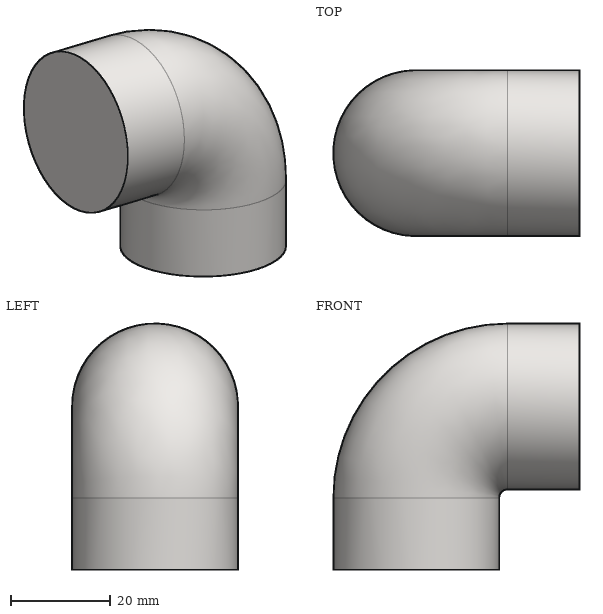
import cadquery as cq

overall_length = 49.75
pipe_diameter = 33.55
straight_length = 14.6
bend_angle = 90

pipe_radius = pipe_diameter / 2
bend_radius = overall_length - straight_length - pipe_radius

vertical_leg = cq.Workplane("XY").circle(pipe_radius).extrude(straight_length)

bend = (
    cq.Workplane("XY", origin=(0, 0, straight_length))
    .circle(pipe_radius)
    .revolve(bend_angle, (bend_radius, 0), (bend_radius, 1))
)

horizontal_leg = (
    cq.Workplane("YZ", origin=(bend_radius, 0, straight_length + bend_radius))
    .circle(pipe_radius)
    .extrude(straight_length)
)

result = vertical_leg.union(bend).union(horizontal_leg)